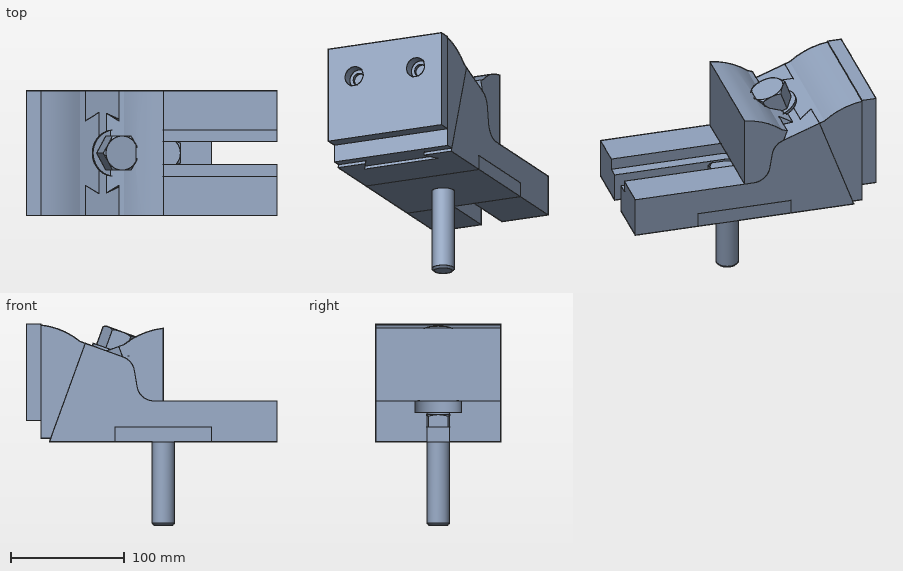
import cadquery as cq
import math


WIDTH = 110.0
TILT = 20.0
TAN_TILT = math.tan(math.radians(TILT))
SIN_TILT = math.sin(math.radians(TILT))
COS_TILT = math.cos(math.radians(TILT))
BOLT_DIAMETER = 20.0
HEX_FLATS = 30.0
HEX_CHAMFER_ANGLE = 30.0

BASE_HALF_LENGTH = 100.0
ARM_HEIGHT = 36.0
SEAT_TOP_Z = 86.5
SEAT_TOP_X = -BASE_HALF_LENGTH + SEAT_TOP_Z * TAN_TILT
SHOULDER_X = -26.9
SHOULDER_Z = SEAT_TOP_Z - (SHOULDER_X - SEAT_TOP_X) * TAN_TILT
SHOULDER_FOOT_X = -21.0
SHOULDER_FILLET = 15.0
SLOT_WIDTH = BOLT_DIAMETER
SLOT_STEP_WIDTH = 41.0
SLOT_STEP_DEPTH = 10.4

BAR_LENGTH = 85.0
BAR_HEIGHT = 12.8

STUD_BOTTOM_Z = -73.3
STUD_CHAMFER = 2.0
STUD_HEAD_HEIGHT = 11.0
STUD_HEAD_TURN = 30.0

DOVETAIL_DEPTH = 12.8
DOVETAIL_NECK = 56.5
DOVETAIL_ANGLE = 60.0
DOVETAIL_TIP = DOVETAIL_NECK + 2 * DOVETAIL_DEPTH / math.tan(math.radians(DOVETAIL_ANGLE))

JAW_ARC_RADIUS = 66.0
JAW_ARC_WIDTH = 34.4
LEFT_JAW_X = -107.5
LEFT_JAW_TOP_Z = 102.6
LEFT_JAW_BOTTOM_Z = 3.0
RIGHT_JAW_TOP_Z = 99.8
RIGHT_GUIDE_FOOT_X = -8.5
RIGHT_LIP_Z = 83.7
RIGHT_LIP_X = RIGHT_GUIDE_FOOT_X - RIGHT_LIP_Z * TAN_TILT

PLATE_THICKNESS = 12.8
PLATE_BOTTOM_Z = 18.5
PLATE_TOP_Z = 103.5
PLATE_HOLE_SPACING = 59.7
PLATE_HOLE_Z = 75.0
PLATE_HOLE_DIAMETER = 11.0
PLATE_BORE_DIAMETER = 17.5
PLATE_BORE_DEPTH = 10.0

BOLT_X = -43.2
BOLT_Z = SEAT_TOP_Z - (BOLT_X - SEAT_TOP_X) * TAN_TILT
WASHER_DIAMETER = 41.0
WASHER_THICKNESS = 2.5
BOLT_HEAD_HEIGHT = 18.0
BOLT_HEAD_TURN = 0.0
BOLT_SHANK_DEPTH = 44.0

SEAT_PLANE = cq.Plane(
    origin=(BOLT_X, 0, BOLT_Z), xDir=(COS_TILT, 0, -SIN_TILT), normal=(SIN_TILT, 0, COS_TILT)
)


def profile_plane():
    """XZ workplane at the +Y side, so that extruding by WIDTH fills the part's width."""
    return cq.Workplane("XZ", origin=(0, WIDTH / 2, 0))


def hex_head(plane, height, turn):
    """Hexagon head standing on a plane, turned in degrees, its outer corners cut by a cone."""
    corner_radius = HEX_FLATS / math.sqrt(3)
    hexagon = (
        cq.Workplane(plane)
        .transformed(rotate=(0, 0, turn))
        .polygon(6, 2 * corner_radius)
        .extrude(height)
    )
    corner_drop = (corner_radius - HEX_FLATS / 2) * math.tan(math.radians(HEX_CHAMFER_ANGLE))
    envelope = (
        cq.Workplane("XZ")
        .polyline([
            (0, 0),
            (corner_radius, 0),
            (corner_radius, height - corner_drop),
            (HEX_FLATS / 2, height),
            (0, height),
        ])
        .close()
        .revolve(360, (0, 0, 0), (0, 1, 0))
    )
    return hexagon.intersect(cq.Workplane(envelope.val().moved(plane.location)))


def dovetail(plane, length):
    """Dovetail prism that starts at a plane; its neck lies on the plane's X axis."""
    return (
        cq.Workplane(plane)
        .polyline([
            (-DOVETAIL_NECK / 2, 0),
            (DOVETAIL_NECK / 2, 0),
            (DOVETAIL_TIP / 2, DOVETAIL_DEPTH),
            (-DOVETAIL_TIP / 2, DOVETAIL_DEPTH),
        ])
        .close()
        .extrude(length)
    )


def left_dovetail():
    """Dovetail that runs down the left guide face and points into the base."""
    plane = cq.Plane(
        origin=(SEAT_TOP_X, 0, SEAT_TOP_Z), xDir=(0, 1, 0), normal=(-SIN_TILT, 0, -COS_TILT)
    )
    return dovetail(plane, SEAT_TOP_Z / COS_TILT)


def right_dovetail():
    """Dovetail that runs down the right guide face and points toward the left jaw."""
    plane = cq.Plane(
        origin=(RIGHT_LIP_X, 0, RIGHT_LIP_Z), xDir=(0, -1, 0), normal=(SIN_TILT, 0, -COS_TILT)
    )
    return dovetail(plane, 2 * DOVETAIL_DEPTH)


def bar_blank():
    """Cross bar without its hole, which is also the channel it fills in the base."""
    return cq.Workplane("XY").box(BAR_LENGTH, WIDTH, BAR_HEIGHT, centered=(True, True, False))


def make_bar():
    return bar_blank().faces(">Z").workplane().hole(BOLT_DIAMETER)


def make_stud():
    head_plane = cq.Plane(origin=(0, 0, BAR_HEIGHT))
    shank = (
        cq.Workplane(head_plane)
        .circle(BOLT_DIAMETER / 2)
        .extrude(STUD_BOTTOM_Z - BAR_HEIGHT)
        .faces("<Z")
        .chamfer(STUD_CHAMFER)
    )
    return shank.union(hex_head(head_plane, STUD_HEAD_HEIGHT, STUD_HEAD_TURN))


def make_washer():
    return (
        cq.Workplane(SEAT_PLANE)
        .circle(WASHER_DIAMETER / 2)
        .circle(BOLT_DIAMETER / 2)
        .extrude(WASHER_THICKNESS)
    )


def make_bolt():
    head_plane = cq.Plane(
        origin=SEAT_PLANE.toWorldCoords((0, 0, WASHER_THICKNESS)).toTuple(),
        xDir=SEAT_PLANE.xDir,
        normal=SEAT_PLANE.zDir,
    )
    shank = (
        cq.Workplane(head_plane)
        .circle(BOLT_DIAMETER / 2)
        .extrude(-WASHER_THICKNESS - BOLT_SHANK_DEPTH)
    )
    return shank.union(hex_head(head_plane, BOLT_HEAD_HEIGHT, BOLT_HEAD_TURN))


def base_blank():
    """Wedge with a sloping seat, rounded down to the arms, without any cuts."""
    blank = (
        profile_plane()
        .polyline([
            (-BASE_HALF_LENGTH, 0),
            (BASE_HALF_LENGTH, 0),
            (BASE_HALF_LENGTH, ARM_HEIGHT),
            (SHOULDER_FOOT_X, ARM_HEIGHT),
            (SHOULDER_X, SHOULDER_Z),
            (SEAT_TOP_X, SEAT_TOP_Z),
        ])
        .close()
        .extrude(WIDTH)
    )
    for corner in [(SHOULDER_X, 0, SHOULDER_Z), (SHOULDER_FOOT_X, 0, ARM_HEIGHT)]:
        blank = blank.edges(cq.NearestToPointSelector(corner)).fillet(SHOULDER_FILLET)
    return blank


def arm_slot(width, floor_z):
    """Slot open at the right end, rounded about the stud axis, cut from floor_z upward."""
    channel = (
        cq.Workplane("XY", origin=(0, 0, floor_z))
        .center(BASE_HALF_LENGTH / 2, 0)
        .rect(BASE_HALF_LENGTH, width)
        .extrude(SEAT_TOP_Z)
    )
    round_end = cq.Workplane("XY", origin=(0, 0, floor_z)).circle(width / 2).extrude(SEAT_TOP_Z)
    return channel.union(round_end)


def make_base(stud, bolt):
    return (
        base_blank()
        .cut(left_dovetail())
        .cut(arm_slot(SLOT_WIDTH, 0))
        .cut(arm_slot(SLOT_STEP_WIDTH, ARM_HEIGHT - SLOT_STEP_DEPTH))
        .cut(bar_blank())
        .cut(stud)
        .cut(bolt)
    )


def make_left_jaw():
    arc_end_x = LEFT_JAW_X + JAW_ARC_WIDTH
    arc_end_z = SEAT_TOP_Z + (SEAT_TOP_X - arc_end_x) * TAN_TILT
    bottom_x = -BASE_HALF_LENGTH + LEFT_JAW_BOTTOM_Z * TAN_TILT
    body = (
        profile_plane()
        .moveTo(LEFT_JAW_X, LEFT_JAW_BOTTOM_Z)
        .lineTo(LEFT_JAW_X, LEFT_JAW_TOP_Z)
        .radiusArc((arc_end_x, arc_end_z), JAW_ARC_RADIUS)
        .lineTo(SEAT_TOP_X, SEAT_TOP_Z)
        .lineTo(bottom_x, LEFT_JAW_BOTTOM_Z)
        .close()
        .extrude(WIDTH)
    )
    above_bottom = (
        cq.Workplane("XY", origin=(0, 0, LEFT_JAW_BOTTOM_Z))
        .rect(2 * BASE_HALF_LENGTH, WIDTH)
        .extrude(LEFT_JAW_TOP_Z)
    )
    return body.union(left_dovetail().intersect(above_bottom))


def make_right_jaw(washer, bolt):
    """Jaw that rests on the base, with a dovetail stub on the seat around washer and head."""
    arc_end_x = -JAW_ARC_WIDTH
    arc_end_z = RIGHT_LIP_Z + (arc_end_x - RIGHT_LIP_X) * TAN_TILT
    body = (
        profile_plane()
        .moveTo(RIGHT_GUIDE_FOOT_X, 0)
        .lineTo(RIGHT_LIP_X, RIGHT_LIP_Z)
        .lineTo(arc_end_x, arc_end_z)
        .radiusArc((0, RIGHT_JAW_TOP_Z), JAW_ARC_RADIUS)
        .lineTo(0, 0)
        .close()
        .extrude(WIDTH)
    )
    return body.union(right_dovetail()).cut(base_blank()).cut(washer).cut(bolt)


def make_plate():
    return (
        cq.Workplane("YZ", origin=(LEFT_JAW_X, 0, 0))
        .center(0, (PLATE_BOTTOM_Z + PLATE_TOP_Z) / 2)
        .rect(WIDTH, PLATE_TOP_Z - PLATE_BOTTOM_Z)
        .extrude(-PLATE_THICKNESS)
        .faces("<X")
        .workplane(origin=(0, 0, PLATE_HOLE_Z))
        .rarray(PLATE_HOLE_SPACING, 2.2, 2, 1)
        .cboreHole(PLATE_HOLE_DIAMETER, PLATE_BORE_DIAMETER, PLATE_BORE_DEPTH)
    )


bar = make_bar()
stud = make_stud()
washer = make_washer()
bolt = make_bolt()
base = make_base(stud, bolt)
left_jaw = make_left_jaw()
right_jaw = make_right_jaw(washer, bolt)
plate = make_plate()

bodies = [base, left_jaw, right_jaw, plate, bar, stud, bolt, washer]
result = cq.Compound.makeCompound([body.solids().val() for body in bodies])